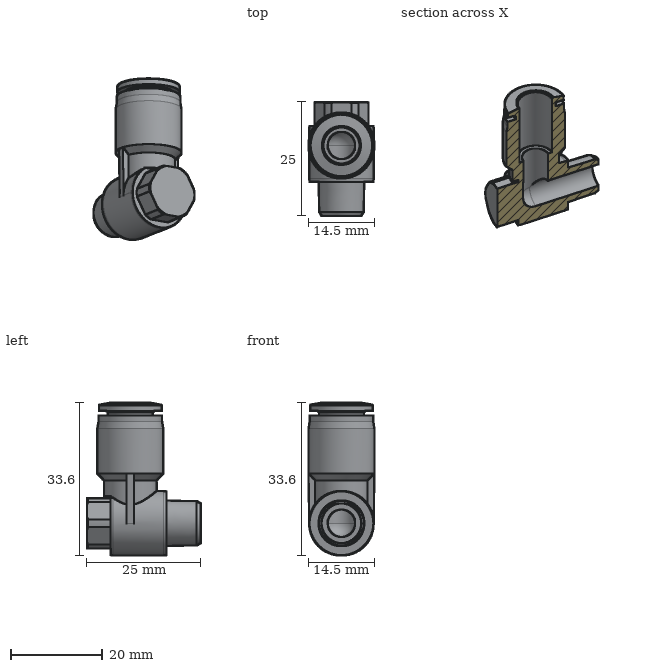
import cadquery as cq
import math


cap_edge_z = 26.05
cap_rim_z = 25.87
cap_bottom_z = 24.65
stem_flare_z = 24.33
collar_top_z = 23.7
collar_step_z = 22.3
sleeve_top_z = 20.8
sleeve_bottom_z = 10.92
neck_top_z = 9.4
neck_lug_bottom_z = 5.98
cap_diameter = 13.8
cap_edge_diameter = 13.5
stem_flare_diameter = 10.55
stem_diameter = 9.95
collar_diameter = 14.0
sleeve_diameter = 14.5
neck_diameter = 11.63

body_back_y = 4.3
body_front_y = -8.0
overall_height = 33.6
body_diameter = 14.2
body_end_diameter = 14.0
back_bevel_length = 0.47
front_bevel_length = 0.75
thread_tip_y = -15.5
thread_bevel_y = -14.55
thread_base_diameter = 10.08
thread_end_diameter = 9.8
thread_tip_diameter = 8.7

top_z = overall_height - body_diameter / 2

hex_back_y = 9.5
hex_across_flats = 11.1
hex_turned_diameter = 11.93
hex_bevel = 0.2

rib_width = 1.6

bore_diameter = 6.0
tube_bore_diameter = 7.93
tube_bore_mouth_diameter = 8.55
tube_bore_bevel = 0.3


def turned(profile, axis):
    """Revolve (diameter, position) pairs around the Z or Y axis."""
    plane = "XZ" if axis == "Z" else "XY"
    points = [(diameter / 2, position) for diameter, position in profile]
    points = [(0, profile[0][1])] + points + [(0, profile[-1][1])]
    return cq.Workplane(plane).polyline(points).close().revolve(360, (0, 0), (0, 1))


def make_socket():
    """Socket whose neck sinks into the body and stops short where it overhangs the back."""
    socket = turned([
        (neck_diameter, 0),
        (neck_diameter, neck_top_z),
        (sleeve_diameter, sleeve_bottom_z),
        (sleeve_diameter, sleeve_top_z),
        (collar_diameter, collar_step_z),
        (collar_diameter, collar_top_z),
        (stem_diameter, collar_top_z),
        (stem_diameter, stem_flare_z),
        (stem_flare_diameter, cap_bottom_z),
        (cap_diameter, cap_bottom_z),
        (cap_diameter, cap_rim_z),
        (cap_edge_diameter, cap_edge_z),
        (tube_bore_mouth_diameter, top_z),
    ], "Z")
    overhang_trim = (
        cq.Workplane("XY", origin=(0, body_back_y, 0))
        .box(neck_diameter, neck_diameter, neck_lug_bottom_z, centered=(True, False, False))
    )
    return socket.cut(overhang_trim)


def make_body_and_thread():
    return turned([
        (thread_tip_diameter, thread_tip_y),
        (thread_end_diameter, thread_bevel_y),
        (thread_base_diameter, body_front_y),
        (body_end_diameter, body_front_y),
        (body_diameter, body_front_y + front_bevel_length),
        (body_diameter, body_back_y - back_bevel_length),
        (body_end_diameter, body_back_y),
    ], "Y")


def make_hexagon():
    """Hexagon with corners on the X axis, its corners turned round."""
    across_corners = hex_across_flats / math.cos(math.pi / 6)
    prism = cq.Workplane("XZ").polygon(6, across_corners).extrude(-hex_back_y)
    envelope = turned([
        (hex_turned_diameter, 0),
        (hex_turned_diameter, hex_back_y - hex_bevel),
        (hex_turned_diameter - 2 * hex_bevel, hex_back_y),
    ], "Y")
    return prism.intersect(envelope)


def make_ribs():
    """Both side ribs as one web, tapering from the sleeve to the body."""
    top_half = sleeve_diameter / 2
    bottom_half = body_diameter / 2
    outline = [
        (-bottom_half, 0),
        (bottom_half, 0),
        (top_half, sleeve_bottom_z),
        (-top_half, sleeve_bottom_z),
    ]
    return cq.Workplane("XZ").polyline(outline).close().extrude(rib_width / 2, both=True)


def make_bores():
    """Elbow passage rounded by a ball at the turn, opening into the tube bore."""
    thread_bore = turned([(bore_diameter, thread_tip_y), (bore_diameter, 0)], "Y")
    socket_bore = turned([
        (bore_diameter, 0),
        (bore_diameter, sleeve_bottom_z),
        (tube_bore_diameter, sleeve_bottom_z),
        (tube_bore_diameter, top_z - tube_bore_bevel),
        (tube_bore_mouth_diameter, top_z),
    ], "Z")
    elbow = cq.Workplane("XY").sphere(bore_diameter / 2)
    return thread_bore.union(socket_bore).union(elbow)


solid = make_body_and_thread().union(make_socket()).union(make_hexagon()).union(make_ribs())
result = solid.cut(make_bores())